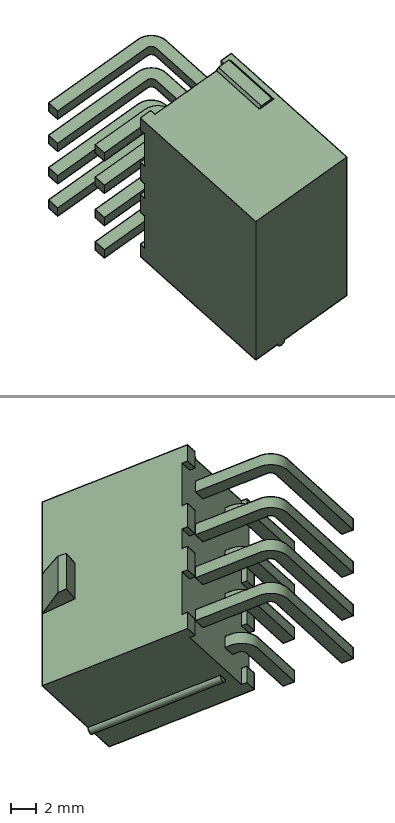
import cadquery as cq

body_length = 13.13
body_width = 9.55
body_height = 18.0
y_top = body_width / 2
z_top = body_height / 2

row_count = 4
pitch = 4.2
pin_size = 1.08
bend_inner_radius = 0.5
long_pin_reach = 7.6
row_spacing_x = 5.5
short_pin_reach = long_pin_reach - row_spacing_x
pin_inset_y = 1.9
pin_drop = 3.3
pin_end_y = -y_top - pin_drop

foot_depth = 0.5
foot_width = 1.1
end_foot_height = 1.6
middle_foot_height = 2.3

key_length = 5.07
key_inset_y = 0.5
key_base_width = 1.5
key_slope_run = 0.2
key_height = 0.25

bottom_rib_start_x = 0.7
bottom_rib_depth = 0.4
bottom_rib_radius = 0.35
bottom_rib_y = y_top - 6.87

latch_height = 1.45
latch_root_length = 3.07
latch_tip_length = 0.8
latch_hook = 0.15
latch_back_width = 3.47
latch_front_width = 3.93


def make_pin(reach, outer_y, z):
    """L-shaped square pin with a rounded elbow, standing out of the back face."""
    outer_radius = bend_inner_radius + pin_size
    inner_x = pin_size - reach
    leg_length = outer_y - pin_end_y
    outer = (
        cq.Workplane("XY", origin=(0, 0, z - pin_size / 2))
        .moveTo(-reach, pin_end_y)
        .rect(reach, leg_length, centered=False)
        .extrude(pin_size)
        .edges("|Z and <X and >Y")
        .fillet(outer_radius)
    )
    inner = (
        cq.Workplane("XY", origin=(0, 0, z - pin_size / 2))
        .moveTo(inner_x, pin_end_y)
        .rect(-inner_x, leg_length - pin_size, centered=False)
        .extrude(pin_size)
        .edges("|Z and <X and >Y")
        .fillet(bend_inner_radius)
    )
    return outer.cut(inner)


def make_foot(y_side, z_center, height):
    """Foot flush with the +Y or -Y side of the housing, overlapping the block for a solid joint."""
    y_center = y_side * (y_top - foot_width / 2)
    return (
        cq.Workplane("XY")
        .box(2 * foot_depth, foot_width, height)
        .translate((0, y_center, z_center))
    )


def make_feet():
    """End feet at the housing corners and middle feet level with the inner pin rows."""
    end_z = z_top - end_foot_height / 2
    middle_z = pitch / 2
    feet = cq.Workplane("XY")
    for y_side in (-1, 1):
        for z_side in (-1, 1):
            feet = feet.add(make_foot(y_side, z_side * end_z, end_foot_height))
            feet = feet.add(make_foot(y_side, z_side * middle_z, middle_foot_height))
    return feet.combine()


def make_key():
    """Low rib with sloped flanks on the top face, starting at the back face."""
    y_outer = y_top - key_inset_y
    y_inner = y_outer - key_base_width
    z_crest = z_top + key_height
    return (
        cq.Workplane("YZ")
        .moveTo(y_outer, z_top)
        .lineTo(y_outer - key_slope_run, z_crest)
        .lineTo(y_inner + key_slope_run, z_crest)
        .lineTo(y_inner, z_top)
        .close()
        .extrude(key_length)
    )


def make_bottom_rib():
    """Half-round rib along the underside, running to the front face."""
    z_tip = -z_top - bottom_rib_depth
    z_spring = z_tip + bottom_rib_radius
    return (
        cq.Workplane("YZ", origin=(bottom_rib_start_x, bottom_rib_y, 0))
        .moveTo(-bottom_rib_radius, -z_top)
        .lineTo(-bottom_rib_radius, z_spring)
        .threePointArc((0, z_tip), (bottom_rib_radius, z_spring))
        .lineTo(bottom_rib_radius, -z_top)
        .close()
        .extrude(body_length - bottom_rib_start_x)
    )


def make_latch():
    """Wedge latch: hooked back face, ramp down to the front edge, sides widening toward the front."""
    root_x = body_length - latch_root_length
    tip_x = root_x - latch_hook
    tip_y = y_top + latch_height
    wedge = (
        cq.Workplane("XY", origin=(0, 0, -latch_front_width / 2))
        .moveTo(root_x, y_top)
        .lineTo(tip_x, tip_y)
        .lineTo(tip_x + latch_tip_length, tip_y)
        .lineTo(body_length, y_top)
        .close()
        .extrude(latch_front_width)
    )
    taper = (
        cq.Workplane("XZ", origin=(0, y_top, 0))
        .moveTo(tip_x, -latch_back_width / 2)
        .lineTo(body_length, -latch_front_width / 2)
        .lineTo(body_length, latch_front_width / 2)
        .lineTo(tip_x, latch_back_width / 2)
        .close()
        .extrude(-latch_height)
    )
    return wedge.intersect(taper)


housing = cq.Workplane("XY").box(body_length, body_width, body_height).translate((body_length / 2, 0, 0))
result = housing.union(make_feet()).union(make_key()).union(make_bottom_rib()).union(make_latch())

long_pin_y = y_top - pin_inset_y
short_pin_y = long_pin_y - pitch
for row in range(row_count):
    row_z = (row - (row_count - 1) / 2) * pitch
    result = result.union(make_pin(long_pin_reach, long_pin_y, row_z))
    result = result.union(make_pin(short_pin_reach, short_pin_y, row_z))